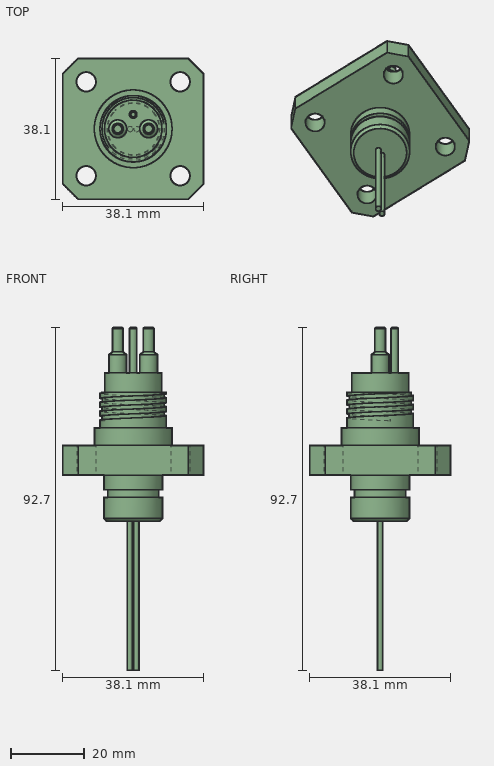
import cadquery as cq

flange_side = 38.1
flange_thickness = 8.1
corner_chamfer = 4.2
mount_hole_diameter = 5.2
mount_hole_spacing = 25.4

collar_diameter = 21.0
collar_height = 4.7
thread_diameter = 18.0
thread_height = 9.55
insert_diameter = 15.5
insert_height = 5.3

thread_pitch = 2.4
groove_width = 1.1
groove_depth = 0.6
groove_start_height = 2.5
groove_start_angle = 162

plug_diameter = 15.9
plug_length = 12.5
plug_chamfer = 0.8
seal_groove_diameter = 13.9
seal_groove_width = 2.0
seal_groove_drop = 4.0

pin_spacing = 8.3
pin_diameter = 3.0
pin_height = 12.3
pin_base_diameter = 4.8
pin_base_height = 5.7
pin_cone_height = 0.7
contact_diameter = 2.0
contact_offset = 3.9
tip_chamfer = 0.4
wire_diameter = 1.5
wire_spacing = 1.8
overall_height = 92.7

collar_top = collar_height
thread_top = collar_top + thread_height
insert_top = thread_top + insert_height
plug_bottom = -flange_thickness - plug_length
wire_length = overall_height - (insert_top + pin_height - plug_bottom)
embed = 0.9


def cylinder(diameter, bottom, top, x=0, y=0):
    return cq.Workplane("XY", origin=(x, y, bottom)).circle(diameter / 2).extrude(top - bottom)


def make_flange():
    flange = cq.Workplane("XY").rect(flange_side, flange_side).extrude(-flange_thickness)
    flange = flange.edges("|Z").chamfer(corner_chamfer)
    holes = (
        cq.Workplane("XY")
        .rect(mount_hole_spacing, mount_hole_spacing, forConstruction=True)
        .vertices()
        .circle(mount_hole_diameter / 2)
        .extrude(-flange_thickness)
    )
    return flange.cut(holes)


def make_plug():
    plug = cylinder(plug_diameter, plug_bottom, -flange_thickness)
    plug = plug.faces("<Z").edges().chamfer(plug_chamfer)
    groove_top = -flange_thickness - seal_groove_drop
    groove_bottom = groove_top - seal_groove_width
    ring = cylinder(plug_diameter, groove_bottom, groove_top)
    ring = ring.cut(cylinder(seal_groove_diameter, groove_bottom, groove_top))
    return plug.cut(ring)


def make_threaded_section():
    blank_top = thread_top + 2 * thread_pitch
    section = cylinder(thread_diameter, collar_top, blank_top)
    root_radius = thread_diameter / 2 - groove_depth
    start_z = collar_top + groove_start_height
    path = cq.Workplane(cq.Wire.makeHelix(thread_pitch, thread_top + groove_width - start_z, root_radius))
    cutter = (
        cq.Workplane("XZ")
        .center(root_radius + groove_depth, 0)
        .rect(2 * groove_depth, groove_width)
        .sweep(path, isFrenet=True)
        .rotate((0, 0, 0), (0, 0, 1), groove_start_angle)
        .translate((0, 0, start_z))
    )
    return section.cut(cutter).cut(cylinder(2 * thread_diameter, thread_top, blank_top))


def make_pin(x):
    base_top = insert_top + pin_base_height
    base = cylinder(pin_base_diameter, insert_top - embed, base_top, x)
    cone_width = (pin_base_diameter - pin_diameter) / 2
    base = base.faces(">Z").edges().chamfer(pin_cone_height, cone_width)
    pin = cylinder(pin_diameter, insert_top, insert_top + pin_height, x)
    return base.union(pin.faces(">Z").edges().chamfer(tip_chamfer))


def make_contact():
    contact = cylinder(contact_diameter, insert_top - embed, insert_top + pin_height, y=contact_offset)
    return contact.faces(">Z").edges().chamfer(tip_chamfer)


def make_wire(x):
    return cylinder(wire_diameter, plug_bottom - wire_length, plug_bottom + embed, x)


result = make_flange().union(make_plug())
result = result.union(cylinder(collar_diameter, 0, collar_top))
result = result.union(make_threaded_section())
result = result.union(cylinder(insert_diameter, thread_top, insert_top))
result = result.union(make_contact())
for side in (-1, 1):
    result = result.union(make_pin(side * pin_spacing / 2))
    result = result.union(make_wire(side * wire_spacing / 2))